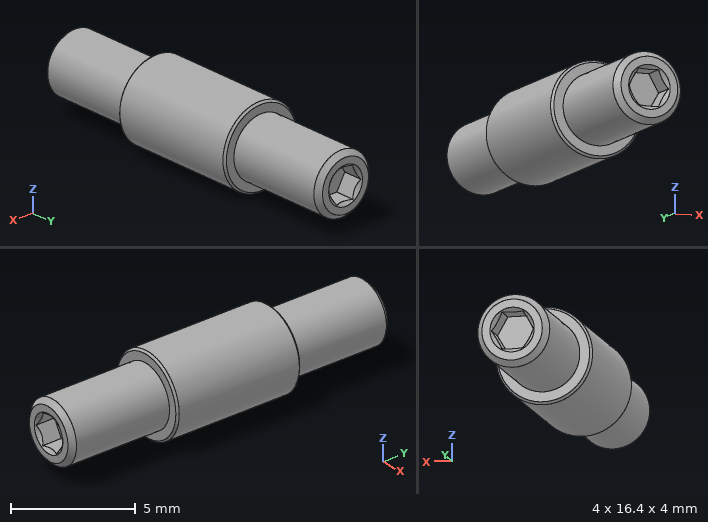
import cadquery as cq
import math

overall_length = 16.35
sleeve_length = 6.35
sleeve_diameter = 4.0
sleeve_chamfer = 0.1

screw_length = overall_length / 2
screw_diameter = 3.0
tip_face_diameter = 2.5
tip_chamfer = (screw_diameter - tip_face_diameter) / 2

socket_across_flats = 1.5
socket_across_corners = socket_across_flats / math.cos(math.pi / 6)
socket_depth = 1.0
lead_in_diameter = 1.83
lead_in_angle = math.radians(45)
lead_in_depth = lead_in_diameter / 2 / math.tan(lead_in_angle)


def make_sleeve():
    """Sleeve centred on the origin, bored through for the screws."""
    sleeve_start = (0, sleeve_length / 2, 0)
    sleeve = (
        cq.Workplane("XZ", origin=sleeve_start)
        .circle(sleeve_diameter / 2)
        .extrude(sleeve_length)
        .faces("<Y or >Y")
        .chamfer(sleeve_chamfer)
    )
    bore = (
        cq.Workplane("XZ", origin=sleeve_start)
        .circle(screw_diameter / 2)
        .extrude(sleeve_length)
    )
    return sleeve.cut(bore)


def make_socket():
    """Hexagonal socket and its lead-in cone, opening at the -Y end."""
    hexagon = (
        cq.Workplane("XZ", origin=(0, -screw_length, 0))
        .polygon(6, socket_across_corners)
        .extrude(-socket_depth)
    )
    lead_in = cq.Workplane(
        cq.Solid.makeCone(
            lead_in_diameter / 2,
            0,
            lead_in_depth,
            pnt=cq.Vector(0, -screw_length, 0),
            dir=cq.Vector(0, 1, 0),
        )
    )
    return hexagon.union(lead_in)


def make_set_screw():
    """Set screw from the centre of the sleeve out to its -Y end."""
    screw = (
        cq.Workplane("XZ")
        .circle(screw_diameter / 2)
        .extrude(screw_length)
        .faces("<Y")
        .chamfer(tip_chamfer)
    )
    return screw.cut(make_socket())


sleeve = make_sleeve()

set_screws = []
for turn in (0, 180):
    screw = make_set_screw().rotate((0, 0, 0), (0, 0, 1), turn)
    set_screws.append(screw.val())

result = cq.Compound.makeCompound([sleeve.val(), *set_screws])